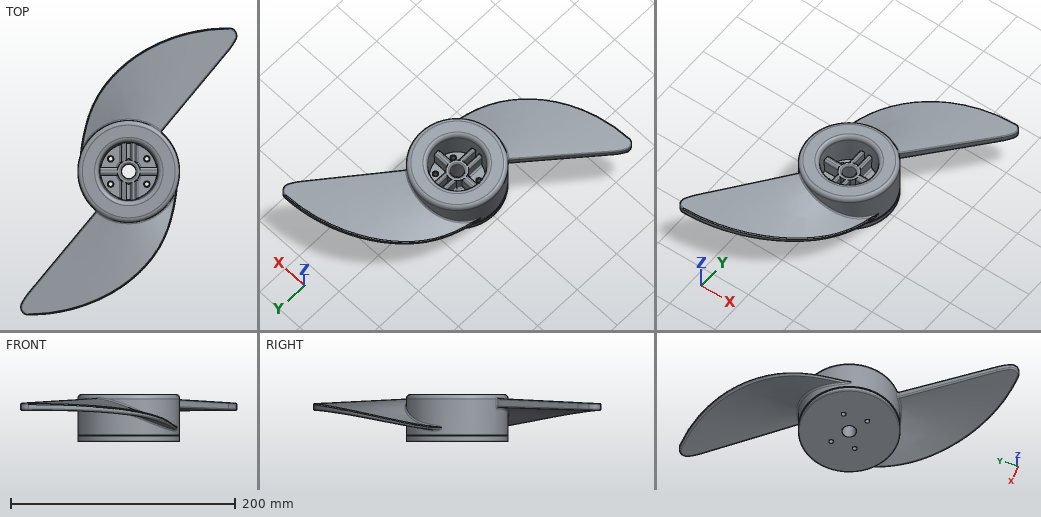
import cadquery as cq
import math

HUB_DIAMETER = 91.0
HUB_RADIUS = HUB_DIAMETER / 2
HUB_HEIGHT = 42.2
HUB_TOP_FILLET = 4.0
HUB_BOTTOM_FILLET = 0.8
GROOVE_HEIGHT = 5.6
GROOVE_WIDTH = 0.8
GROOVE_DEPTH = 0.5

RECESS_RADIUS = 26.5
RECESS_FLOOR_RADIUS = 25.0
RECESS_FLOOR = 12.8
RECESS_LIP_FILLET = 4.0

BOSS_RADIUS = 10.2
BOSS_TOP = 27.0
BOSS_MOUTH_FILLET = 1.5
SHAFT_RADIUS = 6.5
RIB_WIDTH = 7.0
RIB_FILLET = 2.3
WIDE_RIB_WIDTH = 13.3
WIDE_RIB_FILLET = 1.5
CHANNEL_WIDTH = 4.0
CHANNEL_START = 11.0
CHANNEL_LIP_FILLET = 1.3
FOOT_FILLET = 1.5
SCREW_RADIUS = 2.0
SCREW_CHAMFER = 0.8
SCREW_X = 16.0
SCREW_Y = 11.3

BLADE_COUNT = 2
TRAILING_ANGLE = 50
TWIST_SPAN = 110
SLAB_INNER_RADIUS = 35.8
SLAB_OUTER_RADIUS = 163.8
SLAB_SECTIONS = 10
SLAB_OVERLAP = 10
INNER_MID_HEIGHT = 23.5
OUTER_MID_HEIGHT = 19.5
TWIST_AMPLITUDE = 11.3
INNER_TRAILING_THICKNESS = 8.5
OUTER_TRAILING_THICKNESS = 6.5
LEADING_THICKNESS = 3.0
BLADE_TOP_FILLET = 1.0
BLADE_BOTTOM_FILLET = 1.3
BLADE_ROOT_FILLET = 1.3
EDGE_TOLERANCE = 0.03

TRAILING_ROOT = (22.5, 27.6)
TRAILING_END = (88.8, 107.5)
LEADING_ROOT = (-44.3, 2.5)
TIP_SIDE = (95.5, 117.5)
TIP_END = (89.3, 128.0)
LEADING_EDGE = [
    (45.5, 121.5),
    (10.8, 106.0),
    (-20.0, 78.8),
    (-36.4, 48.0),
    (-42.5, 20.5),
    LEADING_ROOT,
]


def make_hub():
    """Solid drum with a rounded rim, a fine groove near its base and a drafted recess."""
    drum = cq.Workplane("XY").circle(HUB_RADIUS).extrude(HUB_HEIGHT)
    drum = drum.faces(">Z").edges().fillet(HUB_TOP_FILLET)
    drum = drum.faces("<Z").edges().fillet(HUB_BOTTOM_FILLET)
    groove = (
        cq.Workplane("XY")
        .workplane(offset=GROOVE_HEIGHT - GROOVE_WIDTH / 2)
        .circle(HUB_RADIUS + GROOVE_DEPTH)
        .circle(HUB_RADIUS - GROOVE_DEPTH)
        .extrude(GROOVE_WIDTH)
    )
    hub = drum.cut(groove).cut(make_recess_space())
    rim = cq.selectors.RadiusNthSelector(0)
    return hub.faces(">Z").edges(rim).fillet(RECESS_LIP_FILLET)


def make_recess_space():
    """Cone frustum that widens from the recess floor to the hub top."""
    return (
        cq.Workplane("XY")
        .workplane(offset=RECESS_FLOOR)
        .circle(RECESS_FLOOR_RADIUS)
        .workplane(offset=HUB_HEIGHT - RECESS_FLOOR)
        .circle(RECESS_RADIUS)
        .loft(ruled=True)
    )


def make_spider():
    """Central boss with a plain rib along X and a channelled rib along Y."""
    height = BOSS_TOP - RECESS_FLOOR
    length = 2 * RECESS_RADIUS
    floor = cq.Workplane("XY").workplane(offset=RECESS_FLOOR)
    plain_rib = floor.rect(length, RIB_WIDTH).extrude(height)
    plain_rib = plain_rib.edges("|X and >Z").fillet(RIB_FILLET)
    wide_rib_half = footed_half(WIDE_RIB_WIDTH / 2).extrude(length / 2, both=True)
    wide_rib = wide_rib_half.union(wide_rib_half.mirror("YZ"))
    wide_rib = wide_rib.edges("|Y and >Z").fillet(WIDE_RIB_FILLET)
    for side in (1, -1):
        wide_rib = wide_rib.cut(make_channel(side))
    boss = footed_half(BOSS_RADIUS).revolve(360, (0, 0), (0, 1))
    return boss.union(plain_rib).union(wide_rib).intersect(make_recess_space())


def footed_half(half_width):
    """Right half of a boss or rib cross-section in XZ, flaring into the floor at its foot."""
    return (
        cq.Workplane("XZ")
        .moveTo(0, RECESS_FLOOR)
        .lineTo(half_width + FOOT_FILLET, RECESS_FLOOR)
        .radiusArc((half_width, RECESS_FLOOR + FOOT_FILLET), FOOT_FILLET)
        .lineTo(half_width, BOSS_TOP)
        .lineTo(0, BOSS_TOP)
        .close()
    )


def make_channel(side):
    """Round-bottomed channel with a rounded inner end and flared lips, on one side of the boss."""
    half = CHANNEL_WIDTH / 2
    mouth_half = half + CHANNEL_LIP_FILLET
    bottom = RECESS_FLOOR + half
    lip = BOSS_TOP - CHANNEL_LIP_FILLET
    profile = (
        cq.Workplane("XZ", origin=(0, side * CHANNEL_START, 0))
        .moveTo(-mouth_half, BOSS_TOP)
        .radiusArc((-half, lip), CHANNEL_LIP_FILLET)
        .lineTo(-half, bottom)
        .threePointArc((0, RECESS_FLOOR), (half, bottom))
        .lineTo(half, lip)
        .radiusArc((mouth_half, BOSS_TOP), CHANNEL_LIP_FILLET)
        .close()
    )
    channel = profile.extrude(-side * RECESS_RADIUS)
    inner_end = (
        cq.Workplane("XZ", origin=(0, side * CHANNEL_START, 0))
        .moveTo(0, BOSS_TOP)
        .lineTo(-mouth_half, BOSS_TOP)
        .radiusArc((-half, lip), CHANNEL_LIP_FILLET)
        .lineTo(-half, bottom)
        .threePointArc((-half * math.sqrt(0.5), bottom - half * math.sqrt(0.5)), (0, RECESS_FLOOR))
        .close()
        .revolve(360, (0, 0), (0, 1))
    )
    return channel.union(inner_end)


def cut_holes(body):
    """Shaft hole with a rounded mouth and four chamfered screw holes, all through."""
    body = body.cut(cq.Workplane("XY").circle(SHAFT_RADIUS).extrude(HUB_HEIGHT))
    mouth_box = cq.selectors.BoxSelector(
        (-SHAFT_RADIUS, -SHAFT_RADIUS, BOSS_TOP - 0.3), (SHAFT_RADIUS, SHAFT_RADIUS, BOSS_TOP + 0.3)
    )
    body = body.edges(mouth_box).fillet(BOSS_MOUTH_FILLET)
    return (
        body.faces(cq.selectors.NearestToPointSelector((SCREW_X, SCREW_Y, RECESS_FLOOR)))
        .workplane(origin=(0, 0, RECESS_FLOOR))
        .rect(2 * SCREW_X, 2 * SCREW_Y, forConstruction=True)
        .vertices()
        .cskHole(2 * SCREW_RADIUS, 2 * (SCREW_RADIUS + SCREW_CHAMFER), 90)
    )


def slab_section(swept):
    """Radial quadrilateral of the slab, `swept` degrees on from the trailing edge."""
    phase = math.pi * swept / TWIST_SPAN
    rise = TWIST_AMPLITUDE * math.cos(phase)
    fade = (1 - swept / TWIST_SPAN) ** 2
    inner_half = (LEADING_THICKNESS + (INNER_TRAILING_THICKNESS - LEADING_THICKNESS) * fade) / 2
    outer_half = (LEADING_THICKNESS + (OUTER_TRAILING_THICKNESS - LEADING_THICKNESS) * fade) / 2
    inner_mid = INNER_MID_HEIGHT + rise
    outer_mid = OUTER_MID_HEIGHT + rise
    corners = [
        (SLAB_INNER_RADIUS, inner_mid - inner_half),
        (SLAB_OUTER_RADIUS, outer_mid - outer_half),
        (SLAB_OUTER_RADIUS, outer_mid + outer_half),
        (SLAB_INNER_RADIUS, inner_mid + inner_half),
    ]
    angle = math.radians(TRAILING_ANGLE + swept)
    points = [cq.Vector(r * math.cos(angle), r * math.sin(angle), z) for r, z in corners]
    return cq.Wire.makePolygon(points, close=True)


def make_blade():
    """Twisted slab trimmed to the blade outline, with rounded edges."""
    step = (TWIST_SPAN + 2 * SLAB_OVERLAP) / (SLAB_SECTIONS - 1)
    sections = [slab_section(-SLAB_OVERLAP + step * i) for i in range(SLAB_SECTIONS)]
    slab = cq.Workplane(cq.Solid.makeLoft(sections))
    outline = (
        cq.Workplane("XY")
        .moveTo(*TRAILING_ROOT)
        .lineTo(*TRAILING_END)
        .tangentArcPoint(TIP_SIDE, relative=False)
        .tangentArcPoint(TIP_END, relative=False)
        .spline(LEADING_EDGE, tangents=[(-1, 0), (-0.1, -1)], includeCurrent=True)
        .close()
        .extrude(HUB_HEIGHT)
    )
    clear_of_bore = cq.Workplane("XY").circle(SLAB_INNER_RADIUS + 2.5).extrude(HUB_HEIGHT)
    blade = outline.intersect(slab).cut(clear_of_bore)
    lower, upper = sorted(
        sorted(blade.faces().vals(), key=lambda face: face.Area())[-2:],
        key=lambda face: face.Center().z,
    )
    blade = blade.newObject(lower.Edges()).fillet(BLADE_BOTTOM_FILLET)
    upper = blade.faces(cq.selectors.NearestToPointSelector(upper.Center().toTuple()))
    return upper.edges().fillet(BLADE_TOP_FILLET)


def join_blades(hub, blade):
    """Adds the evenly spaced blades to the hub and fillets their roots."""
    propeller = hub
    for i in range(BLADE_COUNT):
        propeller = propeller.union(blade.rotate((0, 0, 0), (0, 0, 1), 360 / BLADE_COUNT * i))
    root_edges = [edge for edge in propeller.edges().vals() if is_root_edge(edge)]
    return propeller.newObject(root_edges).fillet(BLADE_ROOT_FILLET)


def is_root_edge(edge):
    """True for edges on the hub wall that lie between its groove and its rounded rim."""
    box = edge.BoundingBox()
    below_rim = box.zmax < HUB_HEIGHT - HUB_TOP_FILLET - EDGE_TOLERANCE
    above_groove = box.zmin > GROOVE_HEIGHT + GROOVE_WIDTH / 2 + EDGE_TOLERANCE
    points = [edge.positionAt(t) for t in (0, 0.5, 1)]
    on_wall = all(abs(math.hypot(p.x, p.y) - HUB_RADIUS) < EDGE_TOLERANCE for p in points)
    return on_wall and below_rim and above_groove


hub = cut_holes(make_hub().union(make_spider()))
result = join_blades(hub, make_blade())